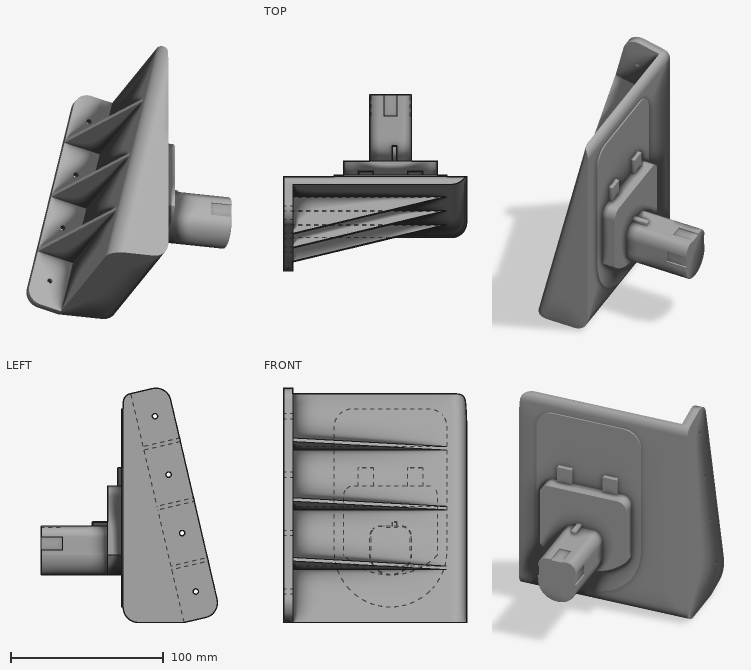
import cadquery as cq
import math


total_width = 120.0
wedge_bottom_depth = 39.9
panel_tilt = math.radians(13.1)
panel_length = 154.1
top_rear_radius = 6.0
bottom_rear_radius = 10.0
panel_end_radius = 10.0

plate_thickness = 6.0
plate_reach = 24.6
plate_corner_radius = 10.0
hole_diameter = 3.4
hole_offset = 12.1
hole_pitch = 39.3
hole_count = 4

rib_count = 3
rib_pitch = 40.2
rib_thickness = 2.4
rib_height = 24.7
rib_end_x = 106.2
rib_embed = 1.0

mount_x = 70.0
gasket_width = 74.0
gasket_bottom_z = 10.2
gasket_top_z = 140.0
gasket_top_radius = 12.0
gasket_back_y = 1.0

block_width = 61.4
block_top_z = 89.6
block_corner_radius = 6.4
block_back_y = 10.2

post_width = 27.5
post_bottom_z = 31.2
post_side_bottom_z = 44.2
post_side_top_z = 56.1
post_shoulder_z = 62.2
post_top_z = 63.3
post_shoulder_inset = 3.1
post_top_inset = 6.3
post_back_y = 53.85
post_end_chamfer = 0.4

recess_length = 14.2
recess_depth = 1.0
recess_width = 8.5

key_width = 3.5
key_offset_x = 2.6
key_top_z = 66.2
key_back_y = 20.4
key_chamfer = 0.5

clip_width = 10.0
clip_spacing = 32.3
clip_top_z = 101.6
clip_back_y = 3.6
clip_chamfer = 0.4
clip_overlap = 1.0


def panel_point(s, n):
    """(Y, Z) of a point s up the panel and n in front of it."""
    y = -wedge_bottom_depth + s * math.sin(panel_tilt) - n * math.cos(panel_tilt)
    z = s * math.cos(panel_tilt) + n * math.sin(panel_tilt)
    return (y, z)


def panel_plane(x, s):
    """Section plane square to the panel: local x along +X, local y into the panel."""
    return cq.Plane(
        origin=(x,) + panel_point(s, 0),
        xDir=(1, 0, 0),
        normal=(0, math.sin(panel_tilt), math.cos(panel_tilt)),
    )


def prism_x(points, x_start, x_end):
    """Extrude a (Y, Z) polygon from x_start to x_end."""
    return cq.Workplane("YZ", origin=(x_start, 0, 0)).polyline(points).close().extrude(x_end - x_start)


def box_between(x_range, y_range, z_range):
    """Box spanning the given (low, high) ranges."""
    size = [high - low for low, high in (x_range, y_range, z_range)]
    corner = (x_range[0], y_range[0], z_range[0])
    return cq.Workplane("XY").box(*size, centered=False).translate(corner)


def spaced(count, pitch):
    """Distances up the panel of items evenly spaced about its middle."""
    return [panel_length / 2 + (i - (count - 1) / 2) * pitch for i in range(count)]


def side_profile():
    """Wedge side: sloping front, top square to the panel, upright back."""
    front_bottom = panel_point(0, 0)
    front_top = panel_point(panel_length, 0)
    back_top = (0, front_top[1] + front_top[0] * math.tan(panel_tilt))
    return [(0, 0), front_bottom, front_top, back_top]


def round_rear_edges(body):
    """Round the two X edges where the rear face meets the top and underside."""
    back_bottom, _, _, back_top = side_profile()
    for corner, radius in ((back_bottom, bottom_rear_radius), (back_top, top_rear_radius)):
        edge = cq.selectors.NearestToPointSelector((body.val().Center().x,) + corner)
        body = body.edges("|X").edges(edge).fillet(radius)
    return body


def make_wedge():
    wedge = prism_x(side_profile(), 0, total_width)
    radius = panel_end_radius
    bevel = radius * (1 - math.sqrt(0.5))
    sliver = (
        cq.Workplane(panel_plane(total_width, -radius))
        .moveTo(-radius, 0)
        .threePointArc((-bevel, bevel), (0, radius))
        .lineTo(radius, radius)
        .lineTo(radius, -radius)
        .lineTo(-radius, -radius)
        .close()
        .extrude(panel_length + 2 * radius)
    )
    return round_rear_edges(wedge).cut(sliver)


def make_side_plate():
    front = [
        panel_point(0, 0),
        panel_point(0, plate_reach),
        panel_point(panel_length, plate_reach),
        panel_point(panel_length, 0),
    ]
    back_bottom, _, _, back_top = side_profile()
    outline = [back_bottom] + front + [back_top]
    plate = round_rear_edges(prism_x(outline, 0, plate_thickness))
    for corner in front[1:3]:
        plate = plate.edges(cq.selectors.NearestToPointSelector((plate_thickness / 2,) + corner))
        plate = plate.fillet(plate_corner_radius)
    return plate


def make_rib(s):
    """Triangular rib centred s up the panel, tapering away from the plate."""
    return (
        cq.Workplane(panel_plane(0, s - rib_thickness / 2))
        .polyline([
            (plate_thickness, rib_embed),
            (rib_end_x, rib_embed),
            (rib_end_x, 0),
            (plate_thickness, -rib_height),
        ])
        .close()
        .extrude(rib_thickness)
    )


def rear_sketch():
    """Workplane on Y = 0 with local x along +X and local y along +Z."""
    return cq.Workplane(cq.Plane(origin=(mount_x, 0, 0), xDir=(1, 0, 0), normal=(0, -1, 0)))


def make_gasket():
    half = gasket_width / 2
    return (
        rear_sketch()
        .moveTo(-half, gasket_bottom_z + half)
        .threePointArc((0, gasket_bottom_z), (half, gasket_bottom_z + half))
        .lineTo(half, gasket_top_z)
        .lineTo(-half, gasket_top_z)
        .close()
        .extrude(-gasket_back_y)
        .edges("|Y and >Z")
        .fillet(gasket_top_radius)
    )


def make_block():
    half = block_width / 2
    return (
        rear_sketch()
        .moveTo(-half, post_side_bottom_z)
        .threePointArc((0, post_bottom_z), (half, post_side_bottom_z))
        .lineTo(half, block_top_z)
        .lineTo(-half, block_top_z)
        .close()
        .extrude(-block_back_y)
        .edges("|Y and >Z")
        .fillet(block_corner_radius)
    )


def make_post():
    half = post_width / 2
    shoulder_x = half - post_shoulder_inset
    flat_x = half - post_top_inset
    return (
        rear_sketch()
        .moveTo(-half, post_side_bottom_z)
        .threePointArc((0, post_bottom_z), (half, post_side_bottom_z))
        .lineTo(half, post_side_top_z)
        .tangentArcPoint((shoulder_x, post_shoulder_z), relative=False)
        .tangentArcPoint((flat_x, post_top_z), relative=False)
        .lineTo(-flat_x, post_top_z)
        .tangentArcPoint((-shoulder_x, post_shoulder_z), relative=False)
        .tangentArcPoint((-half, post_side_top_z), relative=False)
        .close()
        .extrude(-post_back_y)
        .faces(">Y")
        .chamfer(post_end_chamfer)
    )


def cut_recesses(post):
    """Cut a shallow recess, open at the post end, in both sides and the top."""
    left = mount_x - post_width / 2
    right = mount_x + post_width / 2
    half_recess = recess_width / 2
    y_range = (post_back_y - recess_length, post_back_y)
    side_z = (post_side_top_z - recess_width, post_side_top_z)
    top_x = (mount_x - half_recess, mount_x + half_recess)
    recesses = [
        ((left, left + recess_depth), side_z),
        ((right - recess_depth, right), side_z),
        (top_x, (post_top_z - recess_depth, post_top_z)),
    ]
    for x_range, z_range in recesses:
        post = post.cut(box_between(x_range, y_range, z_range))
    return post


def make_key():
    centre = mount_x + key_offset_x
    x_range = (centre - key_width / 2, centre + key_width / 2)
    key = box_between(x_range, (0, key_back_y), (post_side_top_z, key_top_z))
    return key.edges(">Z or (|Z and >Y)").edges("not <Y").chamfer(key_chamfer)


def make_clip(side):
    centre = mount_x + side * clip_spacing / 2
    x_range = (centre - clip_width / 2, centre + clip_width / 2)
    clip = box_between(x_range, (0, clip_back_y), (block_top_z - clip_overlap, clip_top_z))
    return clip.faces(">Z").edges("not <Y").chamfer(clip_chamfer)


def drill_holes(body):
    for s in spaced(hole_count, hole_pitch):
        y, z = panel_point(s, hole_offset)
        hole = cq.Workplane("YZ").center(y, z).circle(hole_diameter / 2).extrude(plate_thickness)
        body = body.cut(hole)
    return body


result = make_wedge().union(make_side_plate())
for s in spaced(rib_count, rib_pitch):
    result = result.union(make_rib(s))
result = drill_holes(result)
for rear_part in (make_gasket(), make_block(), cut_recesses(make_post()), make_key()):
    result = result.union(rear_part)
for side in (-1, 1):
    result = result.union(make_clip(side))